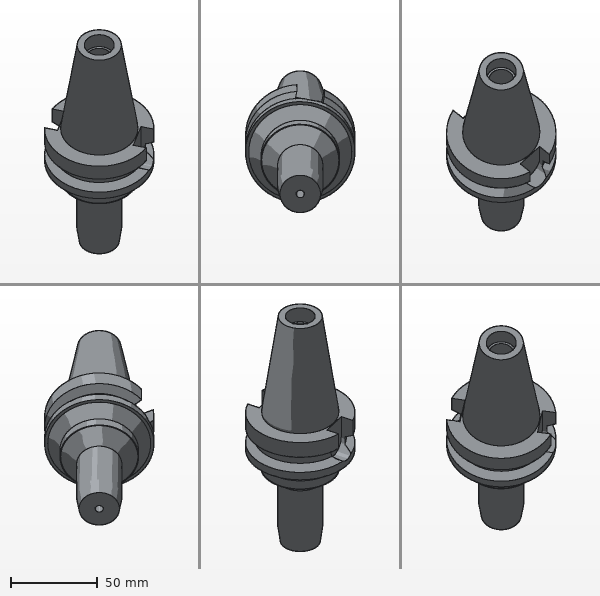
import cadquery as cq

total_height = 155.1

tip_radius = 11.6
shank_radius = 13.0
tip_height = 10.7
shank_top = 43.0

collar_radius = 22.6
collar_cone_radius = 22.2
collar_bottom = 50.4
collar_top = 56.3

flange_radius = 31.5
flange_cone_radius = 29.6
flange_bottom = 63.0
flange_top = 88.7
groove_floor_radius = 26.5
groove_lower_lip = 68.1
groove_upper_lip = 78.5
groove_wall_height = 3.0

taper_large_radius = 22.2
taper_small_radius = 12.7
taper_bottom = 90.1

slot_width = 16.1
slot_floor_distance = 22.6
slot_bottom = 66.7

mouth_radius = 8.5
mouth_depth = 9.5
thread_radius = 7.1
thread_depth = 29.5
coolant_upper_radius = 3.1
coolant_upper_depth = 77.5
coolant_radius = 2.3


def turned_body():
    outline = [
        (0, 0),
        (tip_radius, 0),
        (shank_radius, tip_height),
        (shank_radius, shank_top),
        (collar_cone_radius, collar_bottom),
        (collar_radius, collar_bottom),
        (collar_radius, collar_top),
        (flange_cone_radius, flange_bottom),
        (flange_radius, flange_bottom),
        (flange_radius, groove_lower_lip),
        (groove_floor_radius, groove_lower_lip + groove_wall_height),
        (groove_floor_radius, groove_upper_lip - groove_wall_height),
        (flange_radius, groove_upper_lip),
        (flange_radius, flange_top),
        (taper_large_radius, flange_top),
        (taper_large_radius, taper_bottom),
        (taper_small_radius, total_height),
        (0, total_height),
    ]
    return cq.Workplane("XZ").polyline(outline).close().revolve(360, (0, 0), (0, 1))


def drive_slot(side):
    """Cutter for one slot; side is -1 or +1 along X."""
    half_width = slot_width / 2
    arc_center_z = slot_bottom + half_width
    return (
        cq.Workplane("YZ", origin=(side * slot_floor_distance, 0, 0))
        .moveTo(-half_width, flange_top)
        .lineTo(-half_width, arc_center_z)
        .threePointArc((0, slot_bottom), (half_width, arc_center_z))
        .lineTo(half_width, flange_top)
        .close()
        .extrude(side * flange_radius)
    )


def bore_step(radius, depth):
    """Cylinder reaching the given depth below the top face."""
    return cq.Workplane("XY", origin=(0, 0, total_height - depth)).circle(radius).extrude(depth)


result = turned_body()

for side in (-1, 1):
    result = result.cut(drive_slot(side))

bore_steps = [
    (mouth_radius, mouth_depth),
    (thread_radius, thread_depth),
    (coolant_upper_radius, coolant_upper_depth),
    (coolant_radius, total_height),
]
for radius, depth in bore_steps:
    result = result.cut(bore_step(radius, depth))